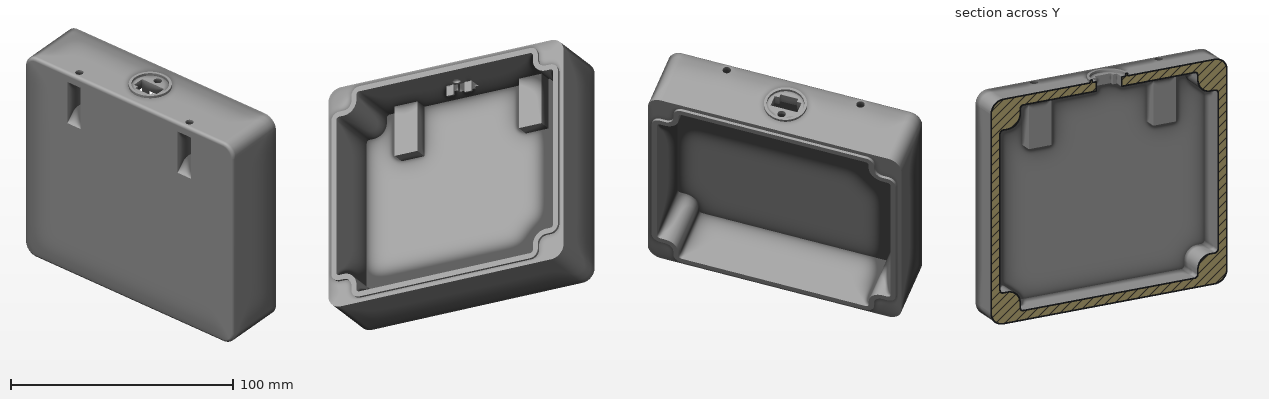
import cadquery as cq

WIDTH = 120.4
HEIGHT = 108.2
BODY_DEPTH = 30.48
CORNER_RADIUS = 6.35
FRONT_FILLET = 1.5875

LIP_HEIGHT = 1.27
LIP_INSET = 2.2
LIP_THICKNESS = 2.54
LIP_NOTCH = 10.3
LIP_FILLET = 4.0
EDGE_MARGIN = 0.1

TOP_WALL = LIP_INSET + LIP_THICKNESS
FRONT_WALL = 3.0

BOSS_DIAMETER = 19.46
BOSS_HEIGHT = 1.27
BOSS_RECESS_DIAMETER = 17.02
BOSS_Y = BODY_DEPTH / 2
LATCH_HOLE_DIAMETER = 3.79
LATCH_HOLE_OFFSET = 5.4

JACK_WIDTH = 12.7
JACK_BACK = 2.1
JACK_SHOULDER = -3.7
JACK_FRONT = -5.5
JACK_KEY_WIDTH = 8.4

PRONG_WIDTH = 3.6
PRONG_LENGTH = 5.0
PRONG_THICKNESS = 0.8

SLOT_SPACING = 63.5
SLOT_WIDTH = 7.62
SLOT_LENGTH = 22.4
SLOT_TOP_DROP = 4.75
SLOT_AXIS_Y = 3.81
SLOT_HOLE_DIAMETER = 3.76
SLOT_HOUSING_WALL = 2.0

TOP_Z = HEIGHT / 2
SLOT_TOP_Z = TOP_Z - SLOT_TOP_DROP
SLOT_BOTTOM_Z = SLOT_TOP_Z - SLOT_LENGTH
SLOT_DEPTH = SLOT_AXIS_Y + SLOT_WIDTH / 2
SLOT_XS = (-SLOT_SPACING / 2, SLOT_SPACING / 2)


def back_facing_plane(y):
    """Sketch plane at the given Y whose normal points toward +Y."""
    return cq.Workplane(cq.Plane(origin=(0, y, 0), xDir=(-1, 0, 0), normal=(0, 1, 0)))


def top_facing_plane(z, y=0):
    """Sketch plane at the given Z whose normal points toward +Z."""
    return cq.Workplane(cq.Plane(origin=(0, y, z), xDir=(1, 0, 0), normal=(0, 0, 1)))


def make_body():
    block = back_facing_plane(0).rect(WIDTH, HEIGHT).extrude(BODY_DEPTH)
    return block.edges("|Y").fillet(CORNER_RADIUS).faces("<Y").edges().fillet(FRONT_FILLET)


def notched_prism(inset, outer_radius, inner_radius, start_y, end_y):
    """Rectangle set in from the body sides, with a square notch in each corner and every corner rounded."""
    half_width = WIDTH / 2 - inset
    half_height = HEIGHT / 2 - inset
    step_x = half_width - LIP_NOTCH
    step_z = half_height - LIP_NOTCH
    depth = end_y - start_y
    upright = back_facing_plane(start_y).rect(2 * step_x, 2 * half_height).extrude(depth)
    level = back_facing_plane(start_y).rect(2 * half_width, 2 * step_z).extrude(depth)
    cross = upright.union(level)
    notch_edges = cq.selectors.BoxSelector(
        (-step_x - EDGE_MARGIN, start_y, -step_z - EDGE_MARGIN),
        (step_x + EDGE_MARGIN, end_y, step_z + EDGE_MARGIN),
    )
    depth_edges = cq.selectors.ParallelDirSelector(cq.Vector(0, 1, 0))
    outer_edges = cq.selectors.SubtractSelector(depth_edges, notch_edges)
    rounded = cross.edges(outer_edges).fillet(outer_radius)
    return rounded.edges("|Y").edges(notch_edges).fillet(inner_radius)


def make_boss():
    return top_facing_plane(TOP_Z, BOSS_Y).circle(BOSS_DIAMETER / 2).extrude(BOSS_HEIGHT)


def make_connector_cut():
    recess = top_facing_plane(TOP_Z, BOSS_Y).circle(BOSS_RECESS_DIAMETER / 2).extrude(BOSS_HEIGHT)
    latch = (
        top_facing_plane(TOP_Z, BOSS_Y)
        .center(0, LATCH_HOLE_OFFSET)
        .circle(LATCH_HOLE_DIAMETER / 2)
        .extrude(-TOP_WALL)
    )
    jack = (
        top_facing_plane(TOP_Z, BOSS_Y)
        .moveTo(-JACK_WIDTH / 2, JACK_BACK)
        .lineTo(JACK_WIDTH / 2, JACK_BACK)
        .lineTo(JACK_WIDTH / 2, JACK_SHOULDER)
        .lineTo(JACK_KEY_WIDTH / 2, JACK_SHOULDER)
        .lineTo(JACK_KEY_WIDTH / 2, JACK_FRONT)
        .lineTo(-JACK_KEY_WIDTH / 2, JACK_FRONT)
        .lineTo(-JACK_KEY_WIDTH / 2, JACK_SHOULDER)
        .lineTo(-JACK_WIDTH / 2, JACK_SHOULDER)
        .close()
        .extrude(-TOP_WALL)
    )
    return recess.union(latch).union(jack)


def make_jack_prong(side):
    """Prong at the -X (side = -1) or +X (side = 1) end of the jack opening."""
    center_x = side * (JACK_WIDTH - PRONG_WIDTH) / 2
    center_y = JACK_BACK + PRONG_THICKNESS / 2
    return (
        top_facing_plane(TOP_Z - TOP_WALL, BOSS_Y)
        .center(center_x, center_y)
        .rect(PRONG_WIDTH, PRONG_THICKNESS)
        .extrude(-PRONG_LENGTH)
    )


def make_slot_housing(x):
    """Block inside the cavity that walls the slot off from it."""
    width = SLOT_WIDTH + 2 * SLOT_HOUSING_WALL
    depth = SLOT_DEPTH + SLOT_HOUSING_WALL - FRONT_WALL
    bottom = SLOT_BOTTOM_Z - SLOT_HOUSING_WALL
    height = TOP_Z - TOP_WALL - bottom
    block = cq.Workplane("XY", origin=(x, FRONT_WALL, bottom))
    return block.box(width, depth, height, centered=(True, False, False))


def make_slot_cut(x):
    """Round-bottomed trough ending in a 45 degree ramp, with a hole up through the top wall."""
    half = SLOT_WIDTH / 2
    trough = (
        top_facing_plane(SLOT_BOTTOM_Z)
        .moveTo(x - half, 0)
        .lineTo(x + half, 0)
        .lineTo(x + half, SLOT_AXIS_Y)
        .threePointArc((x, SLOT_DEPTH), (x - half, SLOT_AXIS_Y))
        .close()
        .extrude(SLOT_LENGTH)
    )
    ramp = (
        cq.Workplane("YZ", origin=(x - half, 0, 0))
        .moveTo(0, SLOT_BOTTOM_Z)
        .lineTo(SLOT_DEPTH, SLOT_BOTTOM_Z)
        .lineTo(SLOT_DEPTH, SLOT_BOTTOM_Z + SLOT_DEPTH)
        .close()
        .extrude(SLOT_WIDTH)
    )
    hole = (
        top_facing_plane(SLOT_TOP_Z, SLOT_AXIS_Y)
        .center(x, 0)
        .circle(SLOT_HOLE_DIAMETER / 2)
        .extrude(SLOT_TOP_DROP)
    )
    return trough.cut(ramp).union(hole)


back_y = BODY_DEPTH + LIP_HEIGHT
lip = notched_prism(LIP_INSET, LIP_FILLET, LIP_FILLET, BODY_DEPTH, back_y)
cavity = notched_prism(
    LIP_INSET + LIP_THICKNESS,
    LIP_FILLET - LIP_THICKNESS,
    LIP_FILLET + LIP_THICKNESS,
    FRONT_WALL,
    back_y,
)
result = make_body().union(lip).union(make_boss()).cut(cavity)
for slot_x in SLOT_XS:
    result = result.union(make_slot_housing(slot_x)).cut(make_slot_cut(slot_x))
for prong_side in (-1, 1):
    result = result.union(make_jack_prong(prong_side))
result = result.cut(make_connector_cut())